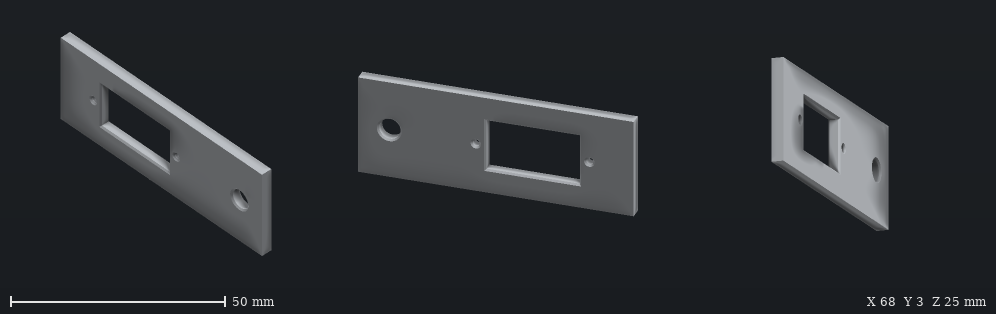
import cadquery as cq

plate_length = 68.0
plate_thickness = 3.0
plate_height = 25.0

edge_chamfer = 0.44

window_center_x = -9.05
window_width = 23.0
window_height = 12.85

screw_spacing = 28.0
screw_diameter = 1.7

round_hole_x = 26.3
round_hole_diameter = 5.25


def opening_plane(x):
    """Workplane on the front face, centred at x, with its normal toward -Y."""
    return cq.Workplane("XZ", origin=(x, -plate_thickness / 2, 0))


def chamfered_opening(x, draw_outline):
    """Through cutter that flares out at both plate faces; draw_outline(plane, margin) adds its outline."""
    cutter = draw_outline(opening_plane(x), 0).extrude(-plate_thickness)
    front_flare = draw_outline(opening_plane(x), edge_chamfer).workplane(offset=-edge_chamfer)
    front_flare = draw_outline(front_flare, 0).loft(ruled=True)
    back_flare = front_flare.mirror("XZ")
    return cutter.union(front_flare).union(back_flare)


def window_outline(plane, margin):
    return plane.rect(window_width + 2 * margin, window_height + 2 * margin)


def screw_outline(plane, margin):
    return plane.circle(screw_diameter / 2 + margin)


def round_hole_outline(plane, margin):
    return plane.circle(round_hole_diameter / 2 + margin)


result = cq.Workplane("XY").box(plate_length, plate_thickness, plate_height)
result = result.cut(chamfered_opening(window_center_x, window_outline))
for side in (-1, 1):
    screw_x = window_center_x + side * screw_spacing / 2
    result = result.cut(chamfered_opening(screw_x, screw_outline))
result = result.cut(chamfered_opening(round_hole_x, round_hole_outline))